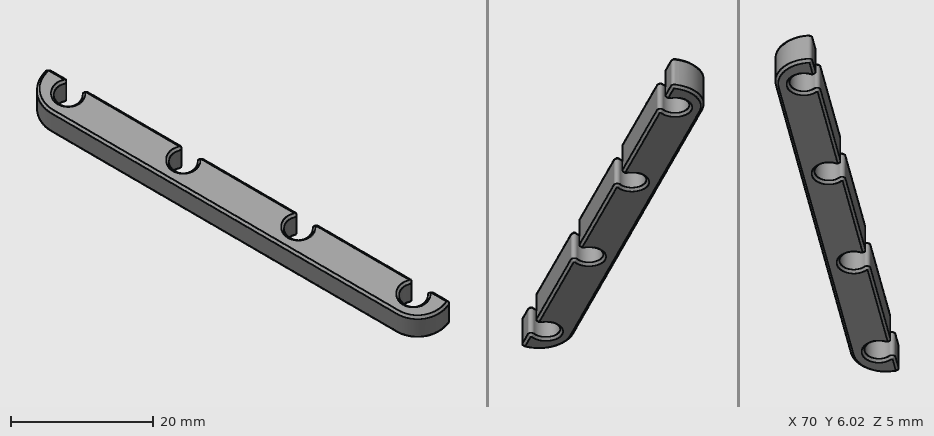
import cadquery as cq
import math

length = 70.0
depth = 6.02
height = 5.0
corner_radius = 5.0
edge_chamfer = 0.4

slot_count = 4
slot_pitch = 20.0
slot_radius = 2.025
slot_y = 4.0
lip_radius = 0.5

half_length = length / 2
slot_xs = [slot_pitch * (i - (slot_count - 1) / 2) for i in range(slot_count)]

lip_y = depth - lip_radius
lip_angle = math.asin((lip_y - slot_y) / (slot_radius + lip_radius))
lip_offset = (slot_radius + lip_radius) * math.cos(lip_angle)


def on_arc(center_x, center_y, radius, angle):
    """Point on a circle at an angle (radians) from +X."""
    return (center_x + radius * math.cos(angle), center_y + radius * math.sin(angle))


def add_slot(outline, x):
    """Continue the outline along the back face (toward +X) through one slot."""
    left_lip = x - lip_offset
    right_lip = x + lip_offset
    return (
        outline.lineTo(left_lip, depth)
        .threePointArc(
            on_arc(left_lip, lip_y, lip_radius, 0),
            on_arc(left_lip, lip_y, lip_radius, -lip_angle),
        )
        .threePointArc(
            (x, slot_y - slot_radius),
            on_arc(x, slot_y, slot_radius, lip_angle),
        )
        .threePointArc(
            on_arc(right_lip, lip_y, lip_radius, math.pi),
            (right_lip, depth),
        )
    )


def bar_outline():
    """Closed outline: rounded front corners, slotted back edge."""
    diagonal = math.pi / 4
    front_x = half_length - corner_radius
    back_x = half_length - lip_radius
    outline = (
        cq.Workplane("XY")
        .moveTo(-front_x, 0)
        .threePointArc(
            on_arc(-front_x, corner_radius, corner_radius, 5 * diagonal),
            (-half_length, corner_radius),
        )
        .lineTo(-half_length, lip_y)
        .threePointArc(on_arc(-back_x, lip_y, lip_radius, 3 * diagonal), (-back_x, depth))
    )
    for x in slot_xs:
        outline = add_slot(outline, x)
    return (
        outline.lineTo(back_x, depth)
        .threePointArc(on_arc(back_x, lip_y, lip_radius, diagonal), (half_length, lip_y))
        .lineTo(half_length, corner_radius)
        .threePointArc(
            on_arc(front_x, corner_radius, corner_radius, -diagonal),
            (front_x, 0),
        )
        .close()
    )


bar = bar_outline().extrude(height)
result = bar.faces("<Z or >Z").chamfer(edge_chamfer)